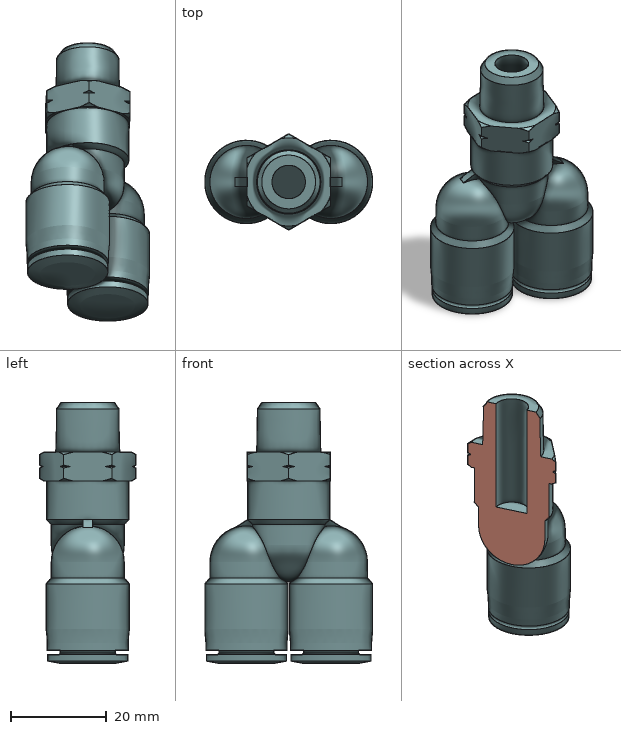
import cadquery as cq
import math


top_z = 54.6
bore_diameter = 7.0
bore_floor_z = 30.1
thread_tip_radius = 5.6
thread_top_radius = 6.55
thread_bottom_radius = 6.7
thread_chamfer_height = 1.35

hex_top_z = 44.2
hex_bottom_z = 38.15
hex_across_corners = 20.15
hex_corner_radius = hex_across_corners / 2
hex_chamfer_width = 0.9
hex_chamfer_height = 0.55
corner_notch_depth = 0.6
corner_notch_height = 0.6

collar_radius = 17.2 / 2
collar_bottom_z = 30.1
collar_chamfer_height = 1.0
dome_radius = 7.65
core_dome_z = 24.75

socket_radius = 8.75
socket_offset = 8.85
socket_dome_z = 21.2
shoulder_top_z = 17.85
shoulder_bottom_z = 16.65
taper_top_z = 7.2
taper_bottom_z = 4.2
socket_end_z = 2.75
socket_end_radius = 17.0 / 2

ring_neck_radius = 11.5 / 2
ring_flare_radius = 6.0
ring_flare_z = 2.2
ring_radius = 16.8 / 2
ring_top_z = 1.85
ring_bevel_z = 0.5
ring_face_radius = 11.5 / 2

rib_width = 1.95
rib_reach = 11.2


def revolve_about_z(profile):
    """Turn a half profile, drawn as radius and height, about the Z axis."""
    return profile.close().revolve(360, (0, 0, 0), (0, 1, 0))


def make_stem():
    profile = (
        cq.Workplane("XZ")
        .moveTo(0, core_dome_z - dome_radius)
        .radiusArc((dome_radius, core_dome_z), -dome_radius)
        .lineTo(dome_radius, collar_bottom_z - collar_chamfer_height)
        .lineTo(collar_radius, collar_bottom_z)
        .lineTo(collar_radius, hex_top_z)
        .lineTo(thread_bottom_radius, hex_top_z)
        .lineTo(thread_top_radius, top_z - thread_chamfer_height)
        .lineTo(thread_tip_radius, top_z)
        .lineTo(0, top_z)
    )
    return revolve_about_z(profile)


def make_hexagon():
    prism = (
        cq.Workplane("XY", origin=(0, 0, hex_bottom_z))
        .polygon(6, hex_across_corners)
        .extrude(hex_top_z - hex_bottom_z)
        .rotate((0, 0, 0), (0, 0, 1), 30)
    )
    face_radius = hex_corner_radius - hex_chamfer_width
    middle_z = (hex_top_z + hex_bottom_z) / 2
    envelope = (
        cq.Workplane("XZ")
        .moveTo(0, hex_bottom_z)
        .lineTo(face_radius, hex_bottom_z)
        .lineTo(hex_corner_radius, hex_bottom_z + hex_chamfer_height)
        .lineTo(hex_corner_radius, middle_z - corner_notch_height / 2)
        .lineTo(hex_corner_radius - corner_notch_depth, middle_z)
        .lineTo(hex_corner_radius, middle_z + corner_notch_height / 2)
        .lineTo(hex_corner_radius, hex_top_z - hex_chamfer_height)
        .lineTo(face_radius, hex_top_z)
        .lineTo(0, hex_top_z)
    )
    return prism.intersect(revolve_about_z(envelope))


def make_socket(side):
    profile = (
        cq.Workplane("XZ")
        .moveTo(0, 0)
        .lineTo(ring_face_radius, 0)
        .lineTo(ring_radius, ring_bevel_z)
        .lineTo(ring_radius, ring_top_z)
        .lineTo(ring_flare_radius, ring_top_z)
        .lineTo(ring_neck_radius, ring_flare_z)
        .lineTo(ring_neck_radius, socket_end_z)
        .lineTo(socket_end_radius, socket_end_z)
        .lineTo(socket_end_radius, taper_bottom_z)
        .lineTo(socket_radius, taper_top_z)
        .lineTo(socket_radius, shoulder_bottom_z)
        .lineTo(dome_radius, shoulder_top_z)
        .lineTo(dome_radius, socket_dome_z)
        .radiusArc((0, socket_dome_z + dome_radius), -dome_radius)
    )
    return revolve_about_z(profile).translate((side * socket_offset, 0, 0))


def make_ribs():
    rib_end_z = socket_dome_z + math.sqrt(dome_radius**2 - (rib_reach - socket_offset) ** 2)
    return (
        cq.Workplane("XZ")
        .moveTo(-collar_radius, collar_bottom_z)
        .lineTo(collar_radius, collar_bottom_z)
        .lineTo(rib_reach, rib_end_z)
        .lineTo(rib_reach, socket_dome_z)
        .lineTo(-rib_reach, socket_dome_z)
        .lineTo(-rib_reach, rib_end_z)
        .close()
        .extrude(rib_width / 2, both=True)
    )


body = make_stem().union(make_hexagon()).union(make_ribs())
for side in (-1, 1):
    body = body.union(make_socket(side))

bore = (
    cq.Workplane("XY", origin=(0, 0, bore_floor_z))
    .circle(bore_diameter / 2)
    .extrude(top_z - bore_floor_z)
)
result = body.cut(bore)